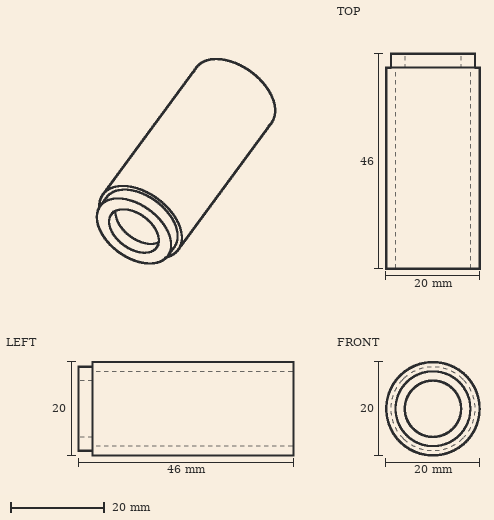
import cadquery as cq

total_length = 46.0
body_diameter = 20.0

spigot_diameter = 18.0
spigot_length = 3.0
body_length = total_length - spigot_length

main_bore_diameter = 16.0
end_bore_diameter = 12.0
main_bore_depth = body_length


def cylinder_along_y(diameter, start, length):
    """Solid cylinder on the Y axis, running from start towards +Y."""
    plane = cq.Plane(origin=(0, start, 0), xDir=(1, 0, 0), normal=(0, 1, 0))
    return cq.Workplane(plane).circle(diameter / 2).extrude(length)


body = cylinder_along_y(body_diameter, 0, body_length)
spigot = cylinder_along_y(spigot_diameter, body_length, spigot_length)
main_bore = cylinder_along_y(main_bore_diameter, 0, main_bore_depth)
end_bore = cylinder_along_y(end_bore_diameter, 0, total_length)

result = body.union(spigot).cut(main_bore).cut(end_bore)